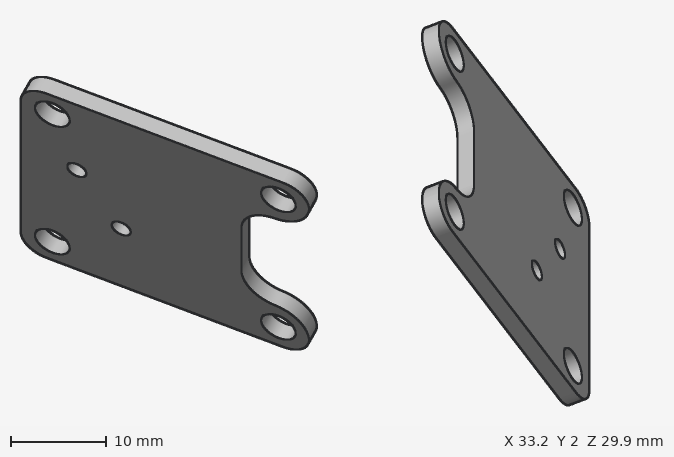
import cadquery as cq
import math

width = 33.2
height = 29.95
thickness = 2.0
corner_radius = 3.0

notch_wall_x = 25.43
ear_radius = 4.1
notch_radius = 4.0

mount_diameter = 4.0
mount_left_x = 3.65
mount_right_x = 29.68
mount_edge_offset = 3.35
small_diameter = 2.2
small_centers = [(6.47, 18.1), (11.6, 10.5)]

ear_center = (width - ear_radius, corner_radius)
notch_center_x = notch_wall_x + notch_radius
center_distance = ear_radius + notch_radius
center_rise = math.sqrt(center_distance**2 - (notch_center_x - ear_center[0])**2)
notch_center = (notch_center_x, ear_center[1] + center_rise)


def point_on_circle(center, radius, angle):
    return (center[0] + radius * math.cos(angle), center[1] + radius * math.sin(angle))


def mirrored(point):
    """Reflect a point about the mid-height of the plate."""
    return (point[0], height - point[1])


meeting_angle = math.atan2(center_rise, notch_center_x - ear_center[0])
meeting_point = point_on_circle(ear_center, ear_radius, meeting_angle)
ear_middle = point_on_circle(ear_center, ear_radius, meeting_angle / 2)
notch_middle = point_on_circle(notch_center, notch_radius, (meeting_angle + 2 * math.pi) / 2)
wall_end = (notch_wall_x, notch_center[1])
ear_tip = (width, corner_radius)

corner_inset = corner_radius * (1 - math.sqrt(0.5))
right_corner_middle = (width - corner_inset, corner_inset)
right_corner_start = (width - corner_radius, 0)
left_corner_middle = (corner_inset, corner_inset)
left_corner_start = (0, corner_radius)
left_corner_end = (corner_radius, 0)

plate = (
    cq.Workplane("XZ")
    .moveTo(*left_corner_end)
    .lineTo(*right_corner_start)
    .threePointArc(right_corner_middle, ear_tip)
    .threePointArc(ear_middle, meeting_point)
    .threePointArc(notch_middle, wall_end)
    .lineTo(*mirrored(wall_end))
    .threePointArc(mirrored(notch_middle), mirrored(meeting_point))
    .threePointArc(mirrored(ear_middle), mirrored(ear_tip))
    .threePointArc(mirrored(right_corner_middle), mirrored(right_corner_start))
    .lineTo(*mirrored(left_corner_end))
    .threePointArc(mirrored(left_corner_middle), mirrored(left_corner_start))
    .lineTo(*left_corner_start)
    .threePointArc(left_corner_middle, left_corner_end)
    .close()
    .extrude(thickness)
)


def through_holes(centers, diameter):
    return cq.Workplane("XZ").pushPoints(centers).circle(diameter / 2).extrude(thickness)


mount_centers = [
    (x, z)
    for x in (mount_left_x, mount_right_x)
    for z in (mount_edge_offset, height - mount_edge_offset)
]

result = plate.cut(through_holes(mount_centers, mount_diameter))
result = result.cut(through_holes(small_centers, small_diameter))